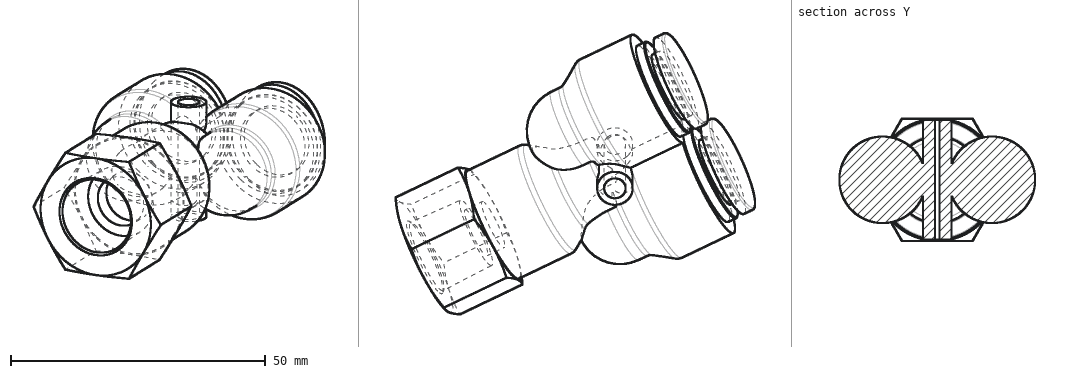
import cadquery as cq
import math

OVERALL_LENGTH = 62.9
OVERALL_WIDTH = 45.0
BACK_Y = OVERALL_LENGTH / 2
FRONT_Y = -OVERALL_LENGTH / 2

BARREL_RADIUS = 23.5 / 2
NECK_RADIUS = 17.0 / 2
SHOULDER_LENGTH = 4.9
SHOULDER_FILLET = 1.9
BRANCH_OFFSET = OVERALL_WIDTH / 2 - BARREL_RADIUS
BRANCH_DOME_Y = 6.1
BRANCH_SHOULDER_Y = 8.6
STEM_SHOULDER_Y = -4.3
STEM_END_Y = 8.4
STEM_END_FILLET = 0.8

EYELET_Y = 10.5
EYELET_DIAMETER = 7.0
EYELET_HOLE_DIAMETER = 4.2

NUT_LENGTH = 15.1
NUT_ACROSS_FLATS = 24.0
NUT_CHAMFER_LENGTH = 0.6
NUT_JOINT_Y = FRONT_Y + NUT_LENGTH
THREAD_DIAMETER = 14.9
THREAD_END_DIAMETER = 14.2
THREAD_DEPTH = 11.3
THREAD_LEAD_IN = 0.45
FLOW_DIAMETER = 10.0

PORT_OFFSET = 10.1
COLLAR_DIAMETER = 19.8
COLLAR_LENGTH = 1.95
COLLAR_CHAMFER = 0.2
BUTTON_LENGTH = 4.0
FLANGE_THICKNESS = 2.25
FLANGE_WIDTH = 19.25
FLANGE_HEIGHT = 22.7
FLANGE_FILLET = 0.4
BUTTON_STEM_DIAMETER = 14.1
COLLAR_END_Y = BACK_Y - BUTTON_LENGTH
BRANCH_END_Y = COLLAR_END_Y - COLLAR_LENGTH

SIDES = (-1, 1)


def plane_facing_back(x, y):
    """Workplane at (x, y, 0) whose normal is +Y."""
    return cq.Workplane(cq.Plane(origin=(x, y, 0), xDir=(1, 0, 0), normal=(0, 1, 0)))


def round_shoulder(branch):
    """Blend the conical shoulder into the cylinders on both of its sides."""
    return branch.faces("%CONE").edges("%CIRCLE").fillet(SHOULDER_FILLET)


def make_port_branch():
    """Barrel, shoulder and domed end, turned about the Y axis."""
    dome_middle = NECK_RADIUS * math.sqrt(0.5)
    branch = (
        cq.Workplane("XY")
        .moveTo(0, BRANCH_END_Y)
        .lineTo(BARREL_RADIUS, BRANCH_END_Y)
        .lineTo(BARREL_RADIUS, BRANCH_SHOULDER_Y + SHOULDER_LENGTH)
        .lineTo(NECK_RADIUS, BRANCH_SHOULDER_Y)
        .lineTo(NECK_RADIUS, BRANCH_DOME_Y)
        .threePointArc((dome_middle, BRANCH_DOME_Y - dome_middle), (0, BRANCH_DOME_Y - NECK_RADIUS))
        .close()
        .revolve(360, (0, 0), (0, 1))
    )
    return round_shoulder(branch)


def make_stem_branch():
    """Barrel above the nut, narrowing to the neck between the port branches."""
    branch = (
        cq.Workplane("XY")
        .moveTo(0, NUT_JOINT_Y)
        .lineTo(BARREL_RADIUS, NUT_JOINT_Y)
        .lineTo(BARREL_RADIUS, STEM_SHOULDER_Y)
        .lineTo(NECK_RADIUS, STEM_SHOULDER_Y + SHOULDER_LENGTH)
        .lineTo(NECK_RADIUS, STEM_END_Y)
        .lineTo(0, STEM_END_Y)
        .close()
        .revolve(360, (0, 0), (0, 1))
    )
    return round_shoulder(branch).faces(">Y").edges().fillet(STEM_END_FILLET)


def make_eyelet_cylinder(diameter):
    """Vertical cylinder on the eyelet axis, as tall as the barrels."""
    return (
        cq.Workplane("XY")
        .center(0, EYELET_Y)
        .circle(diameter / 2)
        .extrude(BARREL_RADIUS, both=True)
    )


def make_housing():
    left_branch = make_port_branch().translate((-BRANCH_OFFSET, 0, 0))
    right_branch = left_branch.mirror("YZ")
    housing = left_branch.union(right_branch).union(make_stem_branch())
    housing = housing.union(make_eyelet_cylinder(EYELET_DIAMETER))
    return housing.cut(make_eyelet_cylinder(EYELET_HOLE_DIAMETER))


def make_nut():
    """Hexagonal nut with turned corners and a tapered thread bore."""
    corner_radius = NUT_ACROSS_FLATS / math.sqrt(3)
    face_radius = NUT_ACROSS_FLATS / 2
    hexagon = plane_facing_back(0, FRONT_Y).polygon(6, 2 * corner_radius).extrude(NUT_LENGTH)
    corner_turning = (
        cq.Workplane("XY")
        .moveTo(0, FRONT_Y)
        .lineTo(face_radius, FRONT_Y)
        .lineTo(corner_radius, FRONT_Y + NUT_CHAMFER_LENGTH)
        .lineTo(corner_radius, NUT_JOINT_Y - NUT_CHAMFER_LENGTH)
        .lineTo(face_radius, NUT_JOINT_Y)
        .lineTo(0, NUT_JOINT_Y)
        .close()
        .revolve(360, (0, 0), (0, 1))
    )
    bore = (
        cq.Workplane("XY")
        .moveTo(0, FRONT_Y)
        .lineTo(THREAD_DIAMETER / 2 + THREAD_LEAD_IN, FRONT_Y)
        .lineTo(THREAD_DIAMETER / 2, FRONT_Y + THREAD_LEAD_IN)
        .lineTo(THREAD_END_DIAMETER / 2, FRONT_Y + THREAD_DEPTH)
        .lineTo(FLOW_DIAMETER / 2, FRONT_Y + THREAD_DEPTH)
        .lineTo(FLOW_DIAMETER / 2, NUT_JOINT_Y)
        .lineTo(0, NUT_JOINT_Y)
        .close()
        .revolve(360, (0, 0), (0, 1))
    )
    return hexagon.intersect(corner_turning).cut(bore)


def make_collar(x):
    """Round collar seated on the end of a port branch."""
    return (
        plane_facing_back(x, BRANCH_END_Y)
        .circle(COLLAR_DIAMETER / 2)
        .extrude(COLLAR_LENGTH)
        .faces(">Y")
        .edges()
        .chamfer(COLLAR_CHAMFER)
    )


def make_button(x):
    """Release button: round stem under an oval flange that is taller in Z than it is wide."""
    flange = (
        plane_facing_back(x, BACK_Y - FLANGE_THICKNESS)
        .ellipse(FLANGE_WIDTH / 2, FLANGE_HEIGHT / 2)
        .extrude(FLANGE_THICKNESS)
        .faces(">Y")
        .edges()
        .fillet(FLANGE_FILLET)
    )
    stem = (
        plane_facing_back(x, COLLAR_END_Y)
        .circle(BUTTON_STEM_DIAMETER / 2)
        .extrude(BUTTON_LENGTH - FLANGE_THICKNESS)
    )
    return flange.union(stem)


housing = make_housing()
nut = make_nut()
collars = [make_collar(side * PORT_OFFSET).val() for side in SIDES]
buttons = [make_button(side * PORT_OFFSET).val() for side in SIDES]

result = cq.Compound.makeCompound([housing.val(), nut.val(), *collars, *buttons])